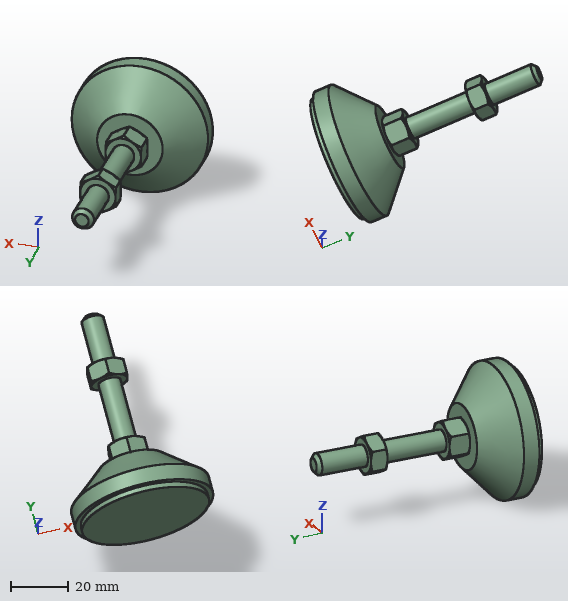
import cadquery as cq
import math

total_length = 78.0

pad_diameter = 46.0
pad_height = 2.0
base_diameter = 50.0
rim_height = 6.0
cone_height = 12.0
cone_top_diameter = 24.0

stud_diameter = 8.0
tip_diameter = 5.0
tip_chamfer_length = 1.5

across_flats = 13.0
fixed_hex_height = 8.0
lock_nut_height = 6.5
lock_nut_gap = 24.2
hex_chamfer_angle = 30.0

rim_start = pad_height
cone_start = rim_start + rim_height
cone_end = cone_start + cone_height
lock_nut_start = cone_end + fixed_hex_height + lock_nut_gap
tip_start = total_length - tip_chamfer_length


def revolve_profile(points):
    """Revolve a closed (radius, Y) outline about the Y axis."""
    return cq.Workplane("XY").polyline(points).close().revolve(360, (0, 0, 0), (0, 1, 0))


def make_hex(start, height):
    """Hexagon with flats facing X and corners rounded off by cones at both ends."""
    flat_radius = across_flats / 2
    corner_radius = flat_radius / math.cos(math.radians(30))
    chamfer_height = (corner_radius - flat_radius) * math.tan(math.radians(hex_chamfer_angle))
    end = start + height
    corners = [
        (
            corner_radius * math.cos(math.radians(90 + 60 * i)),
            corner_radius * math.sin(math.radians(90 + 60 * i)),
        )
        for i in range(6)
    ]
    prism = cq.Workplane("XZ", origin=(0, start, 0)).polyline(corners).close().extrude(-height)
    chamfer_envelope = revolve_profile([
        (0, start),
        (flat_radius, start),
        (corner_radius, start + chamfer_height),
        (corner_radius, end - chamfer_height),
        (flat_radius, end),
        (0, end),
    ])
    return prism.intersect(chamfer_envelope)


foot = revolve_profile([
    (0, 0),
    (pad_diameter / 2, 0),
    (pad_diameter / 2, rim_start),
    (base_diameter / 2, rim_start),
    (base_diameter / 2, cone_start),
    (cone_top_diameter / 2, cone_end),
    (0, cone_end),
])

stud = revolve_profile([
    (0, cone_start),
    (stud_diameter / 2, cone_start),
    (stud_diameter / 2, tip_start),
    (tip_diameter / 2, total_length),
    (0, total_length),
])

fixed_hex = make_hex(cone_end, fixed_hex_height)
lock_nut = make_hex(lock_nut_start, lock_nut_height)

result = foot.union(stud).union(fixed_hex).union(lock_nut)